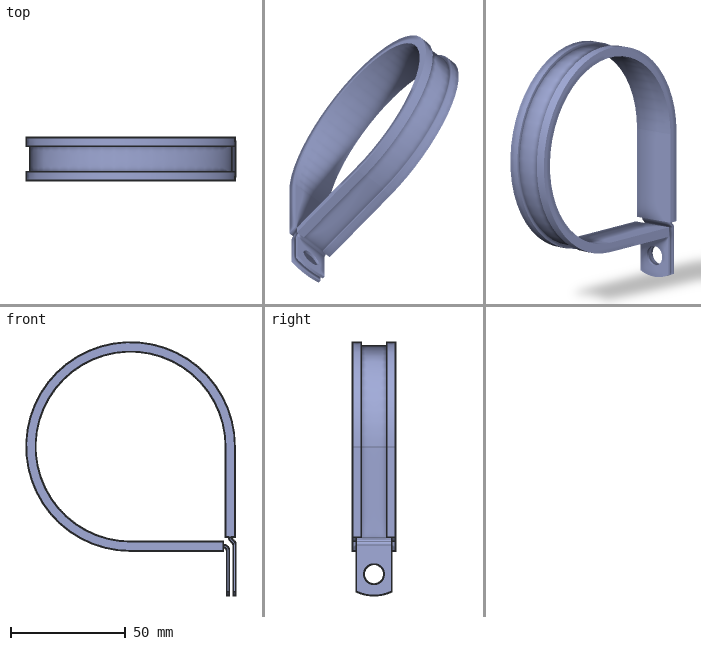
import cadquery as cq
import math


outer_radius = 45.5
cushion_thickness = 4.2
cushion_width = 18.9
lower_leg_end_x = 40.5
upper_leg_end_z = -39.5
inner_radius = outer_radius - cushion_thickness

groove_depth = 1.5
flange_width = 4.0
groove_width = cushion_width - 2 * flange_width
groove_radius = outer_radius - groove_depth

strap_thickness = 1.2
strap_width = 15.6
strap_inner_radius = groove_radius - strap_thickness
outer_tab_x = 45.9
inner_tab_x = 43.1
upper_bend_z = -40.5
lower_bend_x = 41.0
tab_bottom_z = -65.0
tab_arc_rise = 1.8
hole_diameter = 8.6
hole_z = -55.6
bend_inside_radius = 1.0
bend_outside_radius = bend_inside_radius + strap_thickness

bend_shift = strap_thickness * math.tan(math.radians(22.5))


def extrude_centered(profile, width):
    return profile.extrude(width / 2, both=True)


def loop_band(outside, inside, width):
    """Three-quarter ring with straight tangent legs toward +X and -Z."""
    def arc_middle(radius):
        offset = radius * math.sqrt(0.5)
        return (-offset, offset)

    profile = (
        cq.Workplane("XZ")
        .moveTo(outside, upper_leg_end_z)
        .lineTo(outside, 0)
        .threePointArc(arc_middle(outside), (0, -outside))
        .lineTo(lower_leg_end_x, -outside)
        .lineTo(lower_leg_end_x, -inside)
        .lineTo(0, -inside)
        .threePointArc(arc_middle(inside), (inside, 0))
        .lineTo(inside, upper_leg_end_z)
        .close()
    )
    return extrude_centered(profile, width)


def cushion():
    body = loop_band(outer_radius, inner_radius, cushion_width)
    groove = loop_band(outer_radius, groove_radius, groove_width)
    return body.cut(groove)


def bent_strap(points, inside_corners, outside_corners):
    """Strap of the given side outline, with its bend corners rounded concentrically."""
    strap = extrude_centered(cq.Workplane("XZ").polyline(points).close(), strap_width)
    for corners, radius in (
        (inside_corners, bend_inside_radius),
        (outside_corners, bend_outside_radius),
    ):
        for x, z in corners:
            strap = strap.edges(cq.NearestToPointSelector((x, 0, z))).fillet(radius)
    return strap


def outer_tab():
    """Strap leaving the vertical leg and stepping outward to its tab."""
    inner_face_x = outer_tab_x - strap_thickness
    jog = inner_face_x - strap_inner_radius
    first_inner = (strap_inner_radius, upper_bend_z)
    second_inner = (inner_face_x, upper_bend_z - jog)
    first_outer = (groove_radius, upper_bend_z + bend_shift)
    second_outer = (outer_tab_x, upper_bend_z - jog + bend_shift)
    points = [
        (strap_inner_radius, upper_leg_end_z),
        first_inner,
        second_inner,
        (inner_face_x, tab_bottom_z),
        (outer_tab_x, tab_bottom_z),
        second_outer,
        first_outer,
        (groove_radius, upper_leg_end_z),
    ]
    return bent_strap(points, [first_outer, second_inner], [first_inner, second_outer])


def inner_tab():
    """Strap leaving the horizontal leg and turning down through two 45 degree bends."""
    inner_face_x = inner_tab_x - strap_thickness
    drop = inner_face_x - lower_bend_x
    upper_bend_x = lower_bend_x + bend_shift
    inside_corners = [
        (lower_bend_x, -groove_radius),
        (inner_face_x, -groove_radius - drop),
    ]
    outside_corners = [
        (inner_tab_x, -strap_inner_radius - (inner_tab_x - upper_bend_x)),
        (upper_bend_x, -strap_inner_radius),
    ]
    points = [
        (lower_leg_end_x, -groove_radius),
        *inside_corners,
        (inner_face_x, tab_bottom_z),
        (inner_tab_x, tab_bottom_z),
        *outside_corners,
        (lower_leg_end_x, -strap_inner_radius),
    ]
    return bent_strap(points, inside_corners, outside_corners)


def tab_outline():
    """Prism along X that gives both tabs their arched lower end and bolt hole."""
    half_width = strap_width / 2
    corner_z = tab_bottom_z + tab_arc_rise
    blank = (
        cq.Workplane("YZ")
        .moveTo(-half_width, 0)
        .lineTo(-half_width, corner_z)
        .threePointArc((0, tab_bottom_z), (half_width, corner_z))
        .lineTo(half_width, 0)
        .close()
        .extrude(outer_tab_x)
    )
    hole = cq.Workplane("YZ").center(0, hole_z).circle(hole_diameter / 2).extrude(outer_tab_x)
    return blank.cut(hole)


tabs = outer_tab().union(inner_tab()).intersect(tab_outline())
result = cushion().union(tabs)